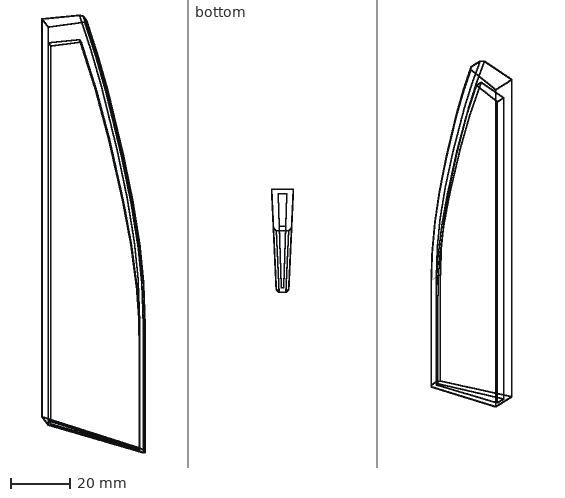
import cadquery as cq

height = 161.8
depth = 35.0
spine_thickness = 7.5
edge_thickness = 4.2
mouth_rise = 15.4
top_depth = 14.0
curve_start_z = 48.5
curve_end_slope = 0.32
curve_mid_y = 28.3
curve_mid_z = (curve_start_z + height) / 2
edge_chamfer = 1.0

cavity_spine_y = 1.6
cavity_edge_wall = 1.6
cavity_top_wall = 8.1
cavity_thickness = 2.9
cavity_tip_thickness = 0.8


def side_profile():
    """Extruded outline of the sheath in the YZ plane."""
    return (
        cq.Workplane("YZ", origin=(-spine_thickness / 2, 0, 0))
        .moveTo(0, mouth_rise)
        .lineTo(depth, 0)
        .lineTo(depth, curve_start_z)
        .spline(
            [(curve_mid_y, curve_mid_z), (top_depth, height)],
            tangents=[(0, 1), (-curve_end_slope, 1)],
            includeCurrent=True,
        )
        .lineTo(0, height)
        .close()
        .extrude(spine_thickness)
    )


def wedge(y_start, y_end, start_thickness, end_thickness):
    """Full-height vertical wedge, symmetric about x = 0."""
    return (
        cq.Workplane("XY")
        .polyline([
            (-start_thickness / 2, y_start),
            (start_thickness / 2, y_start),
            (end_thickness / 2, y_end),
            (-end_thickness / 2, y_end),
        ])
        .close()
        .extrude(height)
    )


def sheath_body():
    """Tapered outline with both long corners of the thin edge chamfered."""
    body = side_profile().intersect(wedge(0, depth, spine_thickness, edge_thickness))
    straight_edges = body.faces(">Y").edges("|Z")
    curved_edges = body.edges("not %LINE")
    return straight_edges.add(curved_edges).chamfer(edge_chamfer)


def cavity():
    """Blade space: the outline moved in from the thin edge, with closed walls at spine and top."""
    tip_y = depth - cavity_edge_wall
    blade_wedge = wedge(cavity_spine_y, tip_y, cavity_thickness, cavity_tip_thickness)
    blade_side = side_profile().translate((0, -cavity_edge_wall, -cavity_top_wall))
    return blade_side.intersect(blade_wedge.translate((0, 0, -cavity_top_wall)))


result = sheath_body().cut(cavity())